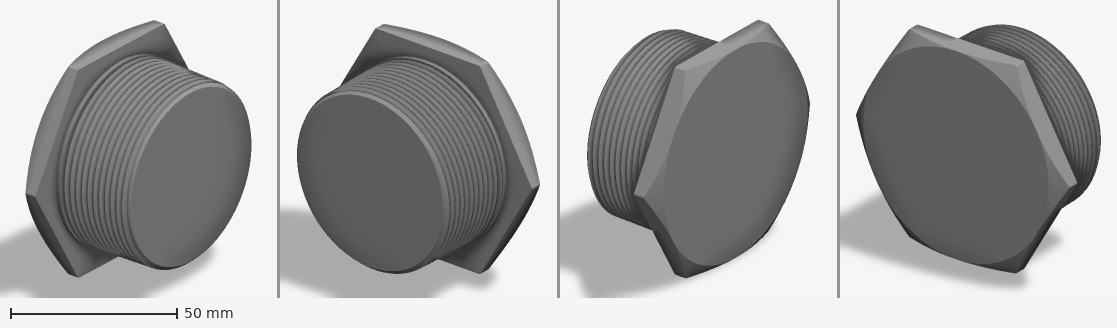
import cadquery as cq
import math

TOTAL_LENGTH = 34.45

HEAD_SIDES = 6
HEAD_THICKNESS = 7.15
ACROSS_FLATS = 70.0
ACROSS_CORNERS = 80.6
HEAD_CHAMFER_ANGLE = 31.5

COLLAR_DIAMETER = 61.06
COLLAR_END = 8.55

MM_PER_INCH = 25.4
THREADS_PER_INCH = 11.5
THREAD_PITCH = MM_PER_INCH / THREADS_PER_INCH
THREAD_TAPER = 1 / 45
ROOT_RADIUS_AT_COLLAR = 28.9
THREAD_HEIGHT = 1.4
THREAD_FLANK_ANGLE = 27.5
CREST_WIDTH = 0.05
CREST_X_AT_START = 6.84
RIDGE_OVERLAP = 0.2


def root_radius(x):
    """Radius of the thread's root cone at a position along the axis."""
    return ROOT_RADIUS_AT_COLLAR - THREAD_TAPER * (x - COLLAR_END)


def revolve_about_x(outline):
    """Solid of revolution about the X axis from (x, radius) points."""
    return cq.Workplane("XY").polyline(outline).close().revolve(360, (0, 0, 0), (1, 0, 0))


def make_head():
    """Hexagon with flats facing +Z and -Z, trimmed corners and a conical face chamfer."""
    corner_diameter = ACROSS_FLATS / math.cos(math.pi / HEAD_SIDES)
    hexagon = cq.Workplane("YZ").polygon(HEAD_SIDES, corner_diameter).extrude(HEAD_THICKNESS)
    face_radius = ACROSS_FLATS / 2
    corner_radius = ACROSS_CORNERS / 2
    chamfer_length = (corner_radius - face_radius) * math.tan(math.radians(HEAD_CHAMFER_ANGLE))
    envelope = revolve_about_x([
        (0, 0),
        (0, face_radius),
        (chamfer_length, corner_radius),
        (HEAD_THICKNESS, corner_radius),
        (HEAD_THICKNESS, 0),
    ])
    return hexagon.intersect(envelope)


def make_collar():
    """Plain cylinder running from the head face to the start of the thread."""
    return cq.Workplane("YZ").circle(COLLAR_DIAMETER / 2).extrude(COLLAR_END)


def make_core():
    """Solid cone at the root of the thread."""
    return revolve_about_x([
        (0, 0),
        (0, root_radius(0)),
        (TOTAL_LENGTH, root_radius(TOTAL_LENGTH)),
        (TOTAL_LENGTH, 0),
    ])


def make_thread_ridge():
    """Helical ridge on the root cone, cut off at the end face and by the tip chamfer."""
    start_radius = root_radius(CREST_X_AT_START) - RIDGE_OVERLAP
    ridge_height = THREAD_HEIGHT + RIDGE_OVERLAP
    half_crest = CREST_WIDTH / 2
    half_base = half_crest + ridge_height * math.tan(math.radians(THREAD_FLANK_ANGLE))

    helix_length = TOTAL_LENGTH + THREAD_PITCH - CREST_X_AT_START
    taper_angle = math.degrees(math.atan(THREAD_TAPER))
    helix = cq.Wire.makeHelix(THREAD_PITCH, helix_length, start_radius, angle=-taper_angle)
    profile = cq.Workplane("XZ").polyline([
        (start_radius, -half_base),
        (start_radius + ridge_height, -half_crest),
        (start_radius + ridge_height, half_crest),
        (start_radius, half_base),
    ]).close()
    ridge = profile.sweep(cq.Workplane(helix), isFrenet=True).val()
    along_x = cq.Plane(origin=(CREST_X_AT_START, 0, 0), xDir=(0, 1, 0), normal=(1, 0, 0))
    ridge = cq.Workplane(ridge.moved(cq.Location(along_x)))

    envelope_radius = COLLAR_DIAMETER / 2
    tip_radius = root_radius(TOTAL_LENGTH)
    tip_chamfer = envelope_radius - tip_radius
    envelope = revolve_about_x([
        (0, 0),
        (0, envelope_radius),
        (TOTAL_LENGTH - tip_chamfer, envelope_radius),
        (TOTAL_LENGTH, tip_radius),
        (TOTAL_LENGTH, 0),
    ])
    return ridge.intersect(envelope)


result = make_core().union(make_thread_ridge()).union(make_collar()).union(make_head())